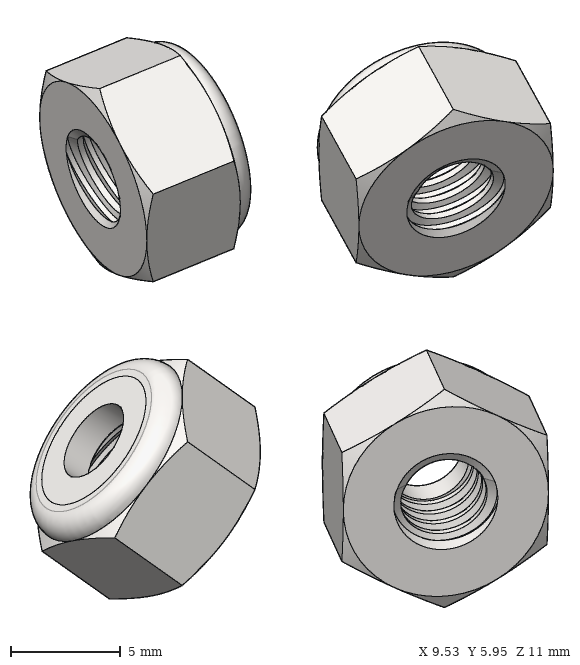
import cadquery as cq
import math

across_corners = 11.0
inradius = across_corners / 2 * math.cos(math.radians(30))
total_length = 5.95
collar_length = 0.99
hex_length = total_length - collar_length
corner_chamfer_depth = 0.34

bore_radius = 2.0
thread_radius = 2.41
thread_depth = thread_radius - bore_radius
flank_slope = math.tan(math.radians(30))
flank_length = thread_depth * flank_slope

pitch = 1.06
root_width = pitch / 4
groove_count = 5
ring_tilt = 14.0
groove_overcut = 0.22
first_groove_center = 0.07

ring_bore_radius = 1.95
ring_outer_radius = 3.41
ring_length = 1.5


def revolve_about_y(sketch):
    """Turn a closed XY profile, with X as the radius, about the Y axis."""
    return sketch.close().revolve(360, (0, 0, 0), (0, 1, 0))


def cylinder_along_y(radius, start, length):
    """Make a round bar on the Y axis from the given start."""
    return cq.Workplane("XZ", origin=(0, start, 0)).circle(radius).extrude(-length)


def make_hex_with_collar():
    """Intersect a hexagonal bar with its corner chamfers, then add the rounded collar."""
    corner_radius = across_corners / 2
    hexagon = (
        cq.Workplane("XZ")
        .polygon(6, across_corners)
        .extrude(-hex_length)
        .rotate((0, 0, 0), (0, 1, 0), 30)
    )
    envelope = revolve_about_y(
        cq.Workplane("XY")
        .lineTo(inradius, 0)
        .lineTo(corner_radius, corner_chamfer_depth)
        .lineTo(corner_radius, hex_length - corner_chamfer_depth)
        .lineTo(inradius, hex_length)
        .lineTo(0, hex_length)
    )
    arc_offset = collar_length * math.sqrt(0.5)
    arc_center_radius = inradius - collar_length
    collar = revolve_about_y(
        cq.Workplane("XY")
        .moveTo(0, hex_length)
        .lineTo(inradius, hex_length)
        .threePointArc(
            (arc_center_radius + arc_offset, hex_length + arc_offset),
            (arc_center_radius, total_length),
        )
        .lineTo(0, total_length)
    )
    return hexagon.intersect(envelope).union(collar)


def make_countersink():
    """Make the cone that opens the bore at the front face."""
    return revolve_about_y(
        cq.Workplane("XY").lineTo(thread_radius, 0).lineTo(bore_radius, flank_length).lineTo(0, flank_length)
    )


def make_thread_groove(center):
    """Make one tilted ring cutter with 30 degree flanks and a flat root."""
    half_mouth = root_width / 2 + flank_length
    half_inner = half_mouth + groove_overcut * flank_slope
    inner_radius = bore_radius - groove_overcut
    groove = revolve_about_y(
        cq.Workplane("XY")
        .moveTo(inner_radius, -half_inner)
        .lineTo(thread_radius, -root_width / 2)
        .lineTo(thread_radius, root_width / 2)
        .lineTo(inner_radius, half_inner)
    )
    return groove.rotate((0, 0, 0), (1, 0, 0), ring_tilt).translate((0, center, 0))


def make_housing():
    """Make the nut with its threaded bore and the recess for the locking ring."""
    body = make_hex_with_collar()
    body = body.cut(cylinder_along_y(bore_radius, 0, total_length))
    body = body.cut(make_countersink())
    for index in range(groove_count):
        body = body.cut(make_thread_groove(first_groove_center + index * pitch))
    return body.cut(cylinder_along_y(ring_outer_radius, total_length - ring_length, ring_length))


def make_locking_ring():
    """Make the ring that fills the recess, with a bore slightly narrower than the thread."""
    start = total_length - ring_length
    ring = cylinder_along_y(ring_outer_radius, start, ring_length)
    return ring.cut(cylinder_along_y(ring_bore_radius, start, ring_length))


housing = make_housing()
locking_ring = make_locking_ring()
result = cq.Compound.makeCompound([housing.val(), locking_ring.val()])